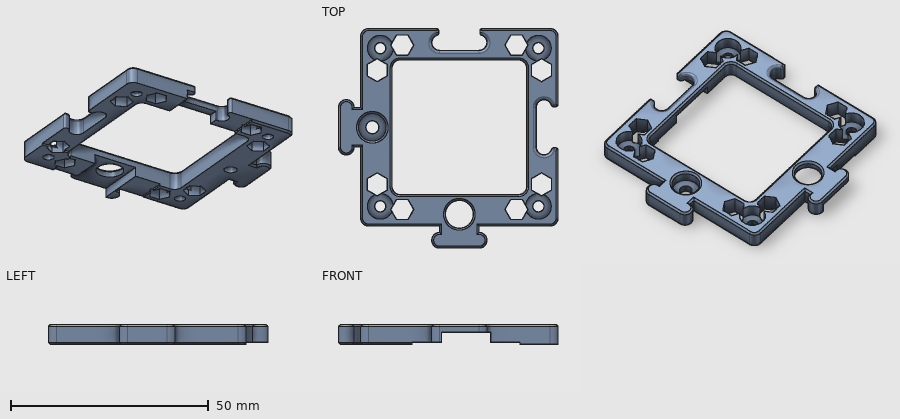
import math

import cadquery as cq

body_side = 50.0
height = 5.0
opening_side = 34.0
corner_radius = 2.0
bevel = 0.5
half_body = body_side / 2

tab_reach = 5.6
tab_neck_width = 10.0
tab_head_width = 14.0
tab_end_radius = 2.0
tab_tip = half_body + tab_reach

notch_depth = 5.5
notch_neck_width = 10.35
notch_head_width = 13.9
notch_end_radius = 1.95
notch_rim_radius = 0.8
lip_radius = 0.65
notch_floor = half_body - notch_depth
lip_inner = notch_floor + 2 * notch_end_radius

tab_hole_position = 22.0
tab_bore_diameter = 7.0
tab_screw_diameter = 3.2
tab_bore_depth = 3.0

corner_hole_position = 20.0
corner_screw_diameter = 2.8
corner_bore_diameter = 6.5
corner_bore_depth = 3.5
nut_across_flats = 5.0
nut_outer_position = 20.8
nut_inner_position = 14.45
nut_across_corners = nut_across_flats / math.cos(math.pi / 6)

relief_left = -11.95
corner_pad_edge = 15.3
relief_depth = 0.5
channel_left = -4.5
channel_right = 7.9
channel_depth = 3.0

pick_margin = 0.1

BACK_SIDE = 0
LEFT_SIDE = 90
FRONT_SIDE = 180
RIGHT_SIDE = -90


def on_side(shape, side):
    """Turn a shape made for the +Y side onto the given side."""
    return shape.rotate((0, 0, 0), (0, 0, 1), side)


def block(x_range, y_range, top):
    """Rectangular block standing on the underside of the frame."""
    size_x = x_range[1] - x_range[0]
    size_y = y_range[1] - y_range[0]
    corner = (x_range[0], y_range[0], 0)
    return cq.Workplane("XY").box(size_x, size_y, top, centered=False).translate(corner)


def joint(neck_width, neck_range, head_width, head_y, end_radius):
    """T-shaped prism for the +Y side: a straight neck and a round-ended head."""
    neck = block((-neck_width / 2, neck_width / 2), neck_range, height)
    head = (
        cq.Workplane("XY")
        .center(0, head_y)
        .slot2D(head_width, 2 * end_radius)
        .extrude(height)
    )
    return neck.union(head)


def bored_hole(x, y, screw_diameter, bore_diameter, bore_depth):
    """Through hole with a flat-bottomed bore from the top."""
    screw = cq.Workplane("XY").center(x, y).circle(screw_diameter / 2).extrude(height)
    bore = cq.Workplane("XY", origin=(x, y, height)).circle(bore_diameter / 2).extrude(-bore_depth)
    return screw.union(bore)


def centered_range(half_width):
    return (-half_width, half_width)


def around(value):
    return (value - pick_margin, value + pick_margin)


def edges_within(x_range, y_range, z_range):
    """Selector for edges whose centers lie in the given ranges."""
    low, high = zip(x_range, y_range, z_range)
    return cq.selectors.BoxSelector(low, high)


def cut_notch(frame):
    """Cut the +Y notch, round over its top rim and round both of its lips."""
    notch = joint(
        notch_neck_width,
        (notch_floor + notch_end_radius, tab_tip),
        notch_head_width,
        notch_floor + notch_end_radius,
        notch_end_radius,
    )
    frame = frame.cut(notch)

    rim = edges_within(
        centered_range(notch_head_width / 2 + pick_margin),
        (notch_floor - pick_margin, half_body - pick_margin),
        around(height),
    )
    frame = frame.edges(rim).fillet(notch_rim_radius)

    for sign in (-1, 1):
        lip_x = sign * notch_neck_width / 2
        inner_corner = edges_within(around(lip_x), around(lip_inner), (0, height))
        frame = frame.edges("|Z").edges(inner_corner).fillet(lip_radius)

        round_x = lip_x + sign * lip_radius
        round_y = half_body - lip_radius
        lip_round = cq.Workplane("XY").center(round_x, round_y).circle(lip_radius).extrude(height)
        corner = block(sorted((lip_x, round_x)), (round_y, half_body), height)
        frame = frame.cut(corner.cut(lip_round))
    return frame


at_top = around(height)
at_bottom = around(0)

part = block(centered_range(half_body), centered_range(half_body), height)
part = part.edges("|Z").fillet(corner_radius)
tab = joint(
    tab_neck_width,
    (notch_floor, tab_tip - tab_end_radius),
    tab_head_width,
    tab_tip - tab_end_radius,
    tab_end_radius,
)
for side in (LEFT_SIDE, FRONT_SIDE):
    part = part.union(on_side(tab, side))
part = part.faces(">Z").chamfer(bevel)

relief = block((relief_left, half_body), centered_range(tab_tip), relief_depth)
corner_pad = block((corner_pad_edge, half_body), (-half_body, -corner_pad_edge), relief_depth)
part = part.cut(relief.cut(corner_pad))
left_pad_edges = edges_within(
    (-tab_tip - pick_margin, relief_left - pick_margin), centered_range(tab_tip), at_bottom
)
part = part.edges(left_pad_edges).chamfer(bevel)

opening = block(centered_range(opening_side / 2), centered_range(opening_side / 2), height)
part = part.cut(opening.edges("|Z").fillet(corner_radius))
opening_span = centered_range(opening_side / 2 + pick_margin)
part = part.edges(edges_within(opening_span, opening_span, at_top)).chamfer(bevel)

for side in (BACK_SIDE, RIGHT_SIDE):
    part = on_side(cut_notch(on_side(part, -side)), side)

for x, y in ((-tab_hole_position, 0), (0, -tab_hole_position)):
    part = part.cut(bored_hole(x, y, tab_screw_diameter, tab_bore_diameter, tab_bore_depth))
    bore_rim = edges_within(around(x), around(y), at_top)
    part = part.edges("%CIRCLE").edges(bore_rim).chamfer(bevel)

part = part.cut(block((channel_left, channel_right), centered_range(tab_tip), channel_depth))

nut = cq.Workplane("XY").polygon(6, nut_across_corners).extrude(height)
turned_nut = nut.rotate((0, 0, 0), (0, 0, 1), 90)
for x_sign in (-1, 1):
    for y_sign in (-1, 1):
        hole_x = x_sign * corner_hole_position
        hole_y = y_sign * corner_hole_position
        corner_hole = bored_hole(
            hole_x, hole_y, corner_screw_diameter, corner_bore_diameter, corner_bore_depth
        )
        part = part.cut(corner_hole)
        part = part.cut(nut.translate((x_sign * nut_inner_position, y_sign * nut_outer_position, 0)))
        part = part.cut(turned_nut.translate((x_sign * nut_outer_position, y_sign * nut_inner_position, 0)))

result = part